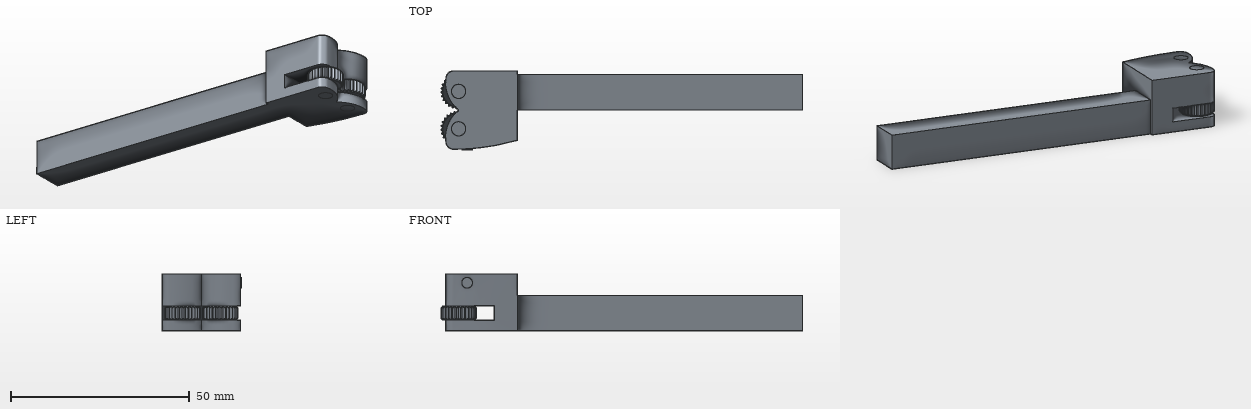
import cadquery as cq
import math


shank_length = 80.0
shank_width = 10.0
shank_height = 10.0
shank_end_setback = 0.02

head_height = 16.0
head_half_width = 11.0
head_front_x = -20.15
rear_corner_y = -8.5
nose_radius = 2.2

wheel_radius = 5.0
wheel_width = 4.0
wheel_base_z = 3.0
wheel_gap = 0.5
rim_chamfer = 0.6
tooth_count = 27
tooth_depth = 0.55
first_tooth_angle = 90.0
axle_radius = 2.0
axle_x = -16.5
axle_y = wheel_radius + wheel_gap / 2
axle_positions = [(axle_x, axle_y), (axle_x, -axle_y)]

slot_rear_x = axle_x + 2 * wheel_radius

notch_x = axle_x
lobe_radius = 10.0
lobe_center_x = head_front_x + lobe_radius
lobe_center_y = math.sqrt(lobe_radius**2 - (lobe_center_x - notch_x)**2)

nose_corner_y = head_half_width - nose_radius
nose_corner_x = lobe_center_x - math.sqrt((lobe_radius - nose_radius)**2 - (nose_corner_y - lobe_center_y)**2)
corner_angle = math.degrees(math.asin((nose_corner_y - lobe_center_y) / (lobe_radius - nose_radius)))
notch_angle = math.degrees(math.asin(lobe_center_y / lobe_radius))

stud_radius = 1.5
stud_x = -14.1
stud_z = 13.5
stud_tip_y = -11.17
stud_root_y = -9.0


def circle_point(center, radius, degrees):
    """Point on a circle at the given angle."""
    angle = math.radians(degrees)
    return (center[0] + radius * math.cos(angle), center[1] + radius * math.sin(angle))


def lobe_point(side, degrees):
    """Point on a lobe; the angle rises from straight ahead toward the outer side of the head."""
    return circle_point((lobe_center_x, side * lobe_center_y), lobe_radius, 180 - side * degrees)


def taper_midpoint():
    """Midpoint of the side arc that leaves the nose rounding tangentially and ends at the rear."""
    length = -nose_corner_x
    drop = rear_corner_y + head_half_width
    radius = (length**2 + drop**2) / (2 * drop)
    sweep = math.degrees(math.asin(length / radius))
    return circle_point((nose_corner_x, radius - head_half_width), radius, -90 + sweep / 2)


def nose_midpoint(side):
    """Midpoint of the rounded outer corner of the nose."""
    middle_angle = (90 + corner_angle) / 2
    return circle_point((nose_corner_x, side * nose_corner_y), nose_radius, 180 - side * middle_angle)


def make_head():
    lobe_middle_angle = (corner_angle - notch_angle) / 2
    return (
        cq.Workplane("XY")
        .moveTo(0, head_half_width)
        .lineTo(nose_corner_x, head_half_width)
        .threePointArc(nose_midpoint(1), lobe_point(1, corner_angle))
        .threePointArc(lobe_point(1, lobe_middle_angle), (notch_x, 0))
        .threePointArc(lobe_point(-1, lobe_middle_angle), lobe_point(-1, corner_angle))
        .threePointArc(nose_midpoint(-1), (nose_corner_x, -head_half_width))
        .threePointArc(taper_midpoint(), (0, rear_corner_y))
        .close()
        .extrude(head_height)
    )


def make_shank():
    """Square bar with a slightly leaning end face and one side on the centre plane."""
    return (
        cq.Workplane("XZ")
        .polyline([
            (0, 0),
            (shank_length, 0),
            (shank_length - shank_end_setback, shank_height),
            (0, shank_height),
        ])
        .close()
        .extrude(-shank_width)
    )


def make_stud():
    return (
        cq.Workplane("XZ", origin=(0, stud_root_y, 0))
        .center(stud_x, stud_z)
        .circle(stud_radius)
        .extrude(stud_root_y - stud_tip_y)
    )


def make_slot():
    """Slot open to the nose and to both sides of the head."""
    slot_length = slot_rear_x - head_front_x
    return (
        cq.Workplane("XY", origin=(head_front_x, 0, wheel_base_z))
        .rect(2 * slot_length, 2 * head_half_width)
        .extrude(wheel_width)
    )


def make_holder():
    axle_holes = cq.Workplane("XY").pushPoints(axle_positions).circle(axle_radius).extrude(head_height)
    body = make_head().union(make_shank()).union(make_stud())
    return body.cut(make_slot()).cut(axle_holes)


def make_wheel(position):
    """Wheel with V-shaped teeth and chamfered rims, on an axle as long as the head is tall."""
    pitch = 360 / tooth_count
    outline = []
    for tooth in range(tooth_count):
        tip_angle = first_tooth_angle + tooth * pitch
        outline.append(circle_point((0, 0), wheel_radius, tip_angle))
        outline.append(circle_point((0, 0), wheel_radius - tooth_depth, tip_angle + pitch / 2))
    teeth = cq.Workplane("XY").polyline(outline).close().extrude(wheel_width)
    blank = cq.Workplane("XY").circle(wheel_radius).extrude(wheel_width).faces("|Z").chamfer(rim_chamfer)
    wheel = teeth.intersect(blank).translate((*position, wheel_base_z))
    axle = cq.Workplane("XY").center(*position).circle(axle_radius).extrude(head_height)
    return wheel.union(axle)


holder = make_holder()
wheels = [make_wheel(position) for position in axle_positions]

result = cq.Compound.makeCompound([holder.val(), *[wheel.val() for wheel in wheels]])